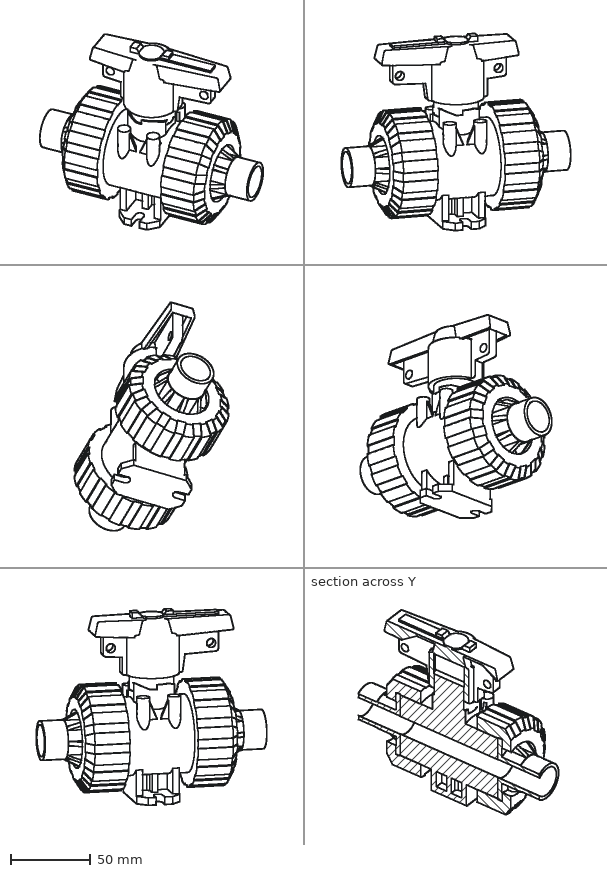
import cadquery as cq


body_radius = 24.9
body_half_length = 38.9
bore_radius = 10.0

neck_radius = 14.1
neck_bottom = 30.0
neck_top = 51.8
collar_radius = 15.1
collar_half_width = 13.2
collar_high = 35.5
collar_low = 32.5
left_fall_start = -12.1
left_fall_end = -4.3
right_fall_start = 8.2
right_fall_end_z = 33.5

pillar_x = 10.1
pillar_y = 19.3
pillar_radius = 4.0
pillar_top = 29.1
gusset_thickness = 1.9
gusset_shoulder_z = 26.2
gusset_bottom = 13.0
gusset_reach = 9.6
gusset_splay = 18.0

foot_bottom = -40.0
foot_top = -35.1
foot_half_length = 14.1
foot_half_width = 24.2
foot_chamfer = 6.2
foot_slot_width = 5.6
foot_slot_depth = 9.4
leg_thickness = 4.3
leg_half_width = 16.7
foot_boss_radius = 4.2
foot_rib_thickness = 3.9
foot_rib_half_width = 9.4
cross_wall_thickness = 4.3

nut_outer_radius = 34.3
nut_notch_radius = 33.3
nut_inner_end = 22.2
nut_outer_end = 49.4
nut_chamfer_length = 4.5
nut_chamfer_depth = 6.8
nut_opening_radius = 18.6
nut_shoulder = 42.2
notch_count = 16
notch_width = 5.8

pipe_end = 72.0
pipe_radius = 12.5
pipe_bore_radius = 10.1
hub_end = 57.0
hub_radius = 12.8
rib_shoulder = 45.8
rib_count = 8
rib_thickness = 2.9

skirt_radius = 17.5
skirt_bottom = 40.3
shoulder_z = 67.4
shoulder_fillet = 1.5
shoulder_inner_radius = skirt_radius - shoulder_fillet
cone_fillet = 1.0
cone_base_radius = shoulder_inner_radius - cone_fillet
cone_top_radius = 13.4
cone_top_fillet = 1.5
skirt_ceiling = 67.0
skirt_slot_width = 8.0

arm_top = 76.9
arm_left = -39.0
arm_right = 51.7
arm_end_bottom = 67.2
arm_middle_bottom = 65.1
arm_end_lean = 2.2
arm_end_fillet = 1.7
arm_lower_fillet = 1.0
arm_plan_overrun = 1.5
arm_draft = 6.0
arm_middle_half_width = 12.0
arm_left_half_width = 9.4
arm_right_half_width = 8.4
arm_wall = 1.7
arm_roof = 2.2

web_thickness = 6.6
web_left = -32.3
web_right = 42.8
web_corner_z = 52.8
web_corner_fillet = 2.0
leg_left = -19.9
leg_right = 21.0
leg_right_bottom = 19.5
leg_fillet = 1.5
lock_hole_diameter = 5.6
lock_hole_z = 58.2
lock_hole_places = (-27.2, 38.0)

button_radius = 8.0
button_base_radius = 7.8
button_top = 78.2
pointer_width = 7.2
pointer_right = web_right
block_width = 6.6
block_top = 80.4
block_outer = 13.4
block_inner_top = 9.0
block_inner_bottom = 7.2


def x_cylinder(radius, start, end):
    return cq.Workplane("YZ").workplane(offset=start).circle(radius).extrude(end - start)


def z_cylinder(radius, bottom, top):
    return cq.Workplane("XY").workplane(offset=bottom).circle(radius).extrude(top - bottom)


def z_box(x_size, y_size, bottom, top):
    return (cq.Workplane("XY").workplane(offset=bottom)
            .rect(x_size, y_size).extrude(top - bottom))


def xz_plate(points, thickness):
    """Plate centred on the XZ plane, from an outline of (x, z) points."""
    return cq.Workplane("XZ").polyline(points).close().extrude(thickness / 2, both=True)



def make_stop_collar_half():
    """Half of the collar on the -Y side; its rim falls, jumps at X = 0 and falls again."""
    rim = [
        (-collar_half_width, 0), (-collar_half_width, collar_high),
        (left_fall_start, collar_high), (left_fall_end, collar_low), (0, collar_low), (0, collar_high),
        (right_fall_start, collar_high), (collar_half_width, right_fall_end_z), (collar_half_width, 0),
    ]
    half = cq.Workplane("XZ").polyline(rim).close().extrude(collar_radius)
    return half.intersect(z_cylinder(collar_radius, 0, collar_high))


def make_stem():
    collar_half = make_stop_collar_half()
    other_half = collar_half.rotate((0, 0, 0), (0, 0, 1), 180)
    neck = z_cylinder(neck_radius, neck_bottom, neck_top)
    return neck.union(collar_half).union(other_half)


def make_gusset(direction):
    """Triangular fin that leans on a pillar axis, turned about Z by direction degrees."""
    outline = [(0, 0), (0, gusset_shoulder_z), (pillar_radius, gusset_shoulder_z),
               (gusset_reach, gusset_bottom), (gusset_reach, 0)]
    return xz_plate(outline, gusset_thickness).rotate((0, 0, 0), (0, 0, 1), direction)


def make_pillar():
    """Pillar of the (-X, -Y) corner with its two gussets."""
    pillar = z_cylinder(pillar_radius, 0, pillar_top)
    pillar = pillar.union(make_gusset(0)).union(make_gusset(90 + gusset_splay))
    return pillar.translate((-pillar_x, -pillar_y, 0))


def make_foot():
    """Slotted base plate with two end legs, a cross wall, a rib and a round boss."""
    foot = z_box(2 * foot_half_length, 2 * foot_half_width, foot_bottom, foot_top)
    foot = foot.edges("|Z").chamfer(foot_chamfer)
    for side in (-1, 1):
        slot = (cq.Workplane("XY").workplane(offset=foot_bottom)
                .center(0, side * foot_half_width)
                .slot2D(2 * foot_slot_depth, foot_slot_width, 90).extrude(foot_top - foot_bottom))
        foot = foot.cut(slot)
    for side in (-1, 1):
        leg = z_box(leg_thickness, 2 * leg_half_width, foot_bottom, 0)
        foot = foot.union(leg.translate((side * (foot_half_length - leg_thickness / 2), 0, 0)))
    foot = foot.union(z_box(2 * foot_half_length, cross_wall_thickness, foot_bottom, 0))
    foot = foot.union(z_box(foot_rib_thickness, 2 * foot_rib_half_width, foot_bottom, 0))
    return foot.union(z_cylinder(foot_boss_radius, foot_bottom, 0))


def make_body():
    body = x_cylinder(body_radius, -body_half_length, body_half_length)
    body = body.union(make_stem())
    pillar = make_pillar()
    for front_pillar in (pillar, pillar.mirror("YZ")):
        body = body.union(front_pillar).union(front_pillar.mirror("XZ"))
    body = body.union(make_foot())
    return body.cut(x_cylinder(bore_radius, -body_half_length, body_half_length))



def chamfered_disc(radius):
    """Disc of nut length whose outer end is chamfered."""
    outline = [(nut_inner_end, 0), (nut_inner_end, radius),
               (nut_outer_end - nut_chamfer_length, radius),
               (nut_outer_end, radius - nut_chamfer_depth), (nut_outer_end, 0)]
    return cq.Workplane("XY").polyline(outline).close().revolve(360, (0, 0, 0), (1, 0, 0))


def make_nut(side):
    """Union nut at the +X end (side 1) or the -X end (side -1)."""
    nut = chamfered_disc(nut_outer_radius)
    length = nut_outer_end - nut_inner_end
    for index in range(notch_count):
        notch = (cq.Workplane("XY")
                 .box(length, notch_width, nut_outer_radius, centered=(False, True, False))
                 .translate((nut_inner_end, 0, 0))
                 .rotate((0, 0, 0), (1, 0, 0), index * 360 / notch_count))
        nut = nut.cut(notch)
    nut = nut.union(chamfered_disc(nut_notch_radius))
    nut = nut.cut(x_cylinder(nut_opening_radius, nut_inner_end, nut_outer_end))
    nut = nut.cut(x_cylinder(body_radius, nut_inner_end, nut_shoulder))
    return nut if side > 0 else nut.mirror("YZ")



def make_connector(side):
    """Pipe end with a flange that its nut clamps against the body."""
    connector = x_cylinder(pipe_radius, body_half_length, pipe_end)
    connector = connector.union(x_cylinder(hub_radius, body_half_length, hub_end))
    connector = connector.union(x_cylinder(body_radius, body_half_length, nut_shoulder))
    rib_outline = [(body_half_length, 0), (body_half_length, nut_opening_radius),
                   (rib_shoulder, nut_opening_radius),
                   (hub_end, hub_radius), (hub_end, 0)]
    for index in range(rib_count):
        rib = xz_plate(rib_outline, rib_thickness)
        rib = rib.intersect(x_cylinder(nut_opening_radius, body_half_length, hub_end))
        connector = connector.union(rib.rotate((0, 0, 0), (1, 0, 0), index * 360 / rib_count))
    connector = connector.cut(x_cylinder(pipe_bore_radius, body_half_length, pipe_end))
    return connector if side > 0 else connector.mirror("YZ")



def make_hub():
    """Skirt with a rounded shoulder and a conical crown."""
    return (cq.Workplane("XZ").moveTo(0, skirt_bottom)
            .lineTo(skirt_radius, skirt_bottom)
            .lineTo(skirt_radius, shoulder_z - shoulder_fillet)
            .radiusArc((shoulder_inner_radius, shoulder_z), -shoulder_fillet)
            .radiusArc((cone_base_radius, shoulder_z + cone_fillet), cone_fillet)
            .lineTo(cone_top_radius, arm_top - cone_top_fillet)
            .radiusArc((cone_top_radius - cone_top_fillet, arm_top), -cone_top_fillet)
            .lineTo(0, arm_top).close()
            .revolve(360, (0, 0, 0), (0, 1, 0)))


def arm_block(end_overrun, side_inset, top):
    """Drafted lozenge of the arm's plan shape, longer by end_overrun and slimmer by side_inset."""
    plan = [(arm_left - end_overrun, arm_left_half_width - side_inset),
            (0, arm_middle_half_width - side_inset),
            (arm_right + end_overrun, arm_right_half_width - side_inset)]
    plan += [(x, -y) for x, y in reversed(plan)]
    return (cq.Workplane("XY").workplane(offset=arm_middle_bottom)
            .polyline(plan).close().extrude(top - arm_middle_bottom, taper=arm_draft))


def make_arm():
    """Hollow arm, open underneath, with leaning ends."""
    side_outline = [(arm_left, arm_end_bottom), (0, arm_middle_bottom),
                    (arm_right, arm_end_bottom), (arm_right - arm_end_lean, arm_top),
                    (arm_left + arm_end_lean, arm_top)]
    arm = arm_block(arm_plan_overrun, 0, arm_top)
    arm = arm.intersect(xz_plate(side_outline, 2 * arm_middle_half_width))
    arm = arm.faces(">Z").edges("<X or >X").fillet(arm_end_fillet)
    arm = arm.edges("|Y").edges("<X or >X").fillet(arm_lower_fillet)
    return arm.cut(arm_block(-arm_wall, arm_wall, arm_top - arm_roof))


def make_web():
    """Plate under the arm with the two lock holes and the two stop legs."""
    roof = arm_top - arm_roof
    plate = xz_plate([(web_left, roof), (web_left, web_corner_z), (leg_left, neck_top),
                      (leg_right, neck_top), (web_right, web_corner_z), (web_right, roof)],
                     web_thickness)
    for corner_x in (web_left, web_right):
        lower_corner = cq.selectors.NearestToPointSelector((corner_x, 0, web_corner_z))
        plate = plate.edges(lower_corner).fillet(web_corner_fillet)
    legs = xz_plate([(leg_left, neck_top), (leg_left, skirt_bottom),
                     (leg_right_bottom, skirt_bottom), (leg_right, neck_top)], web_thickness)
    legs = legs.faces("<Z").edges("|Y").fillet(leg_fillet)
    legs = legs.cut(z_cylinder(neck_radius, skirt_bottom, neck_top))
    holes = (cq.Workplane("XZ").pushPoints([(x, lock_hole_z) for x in lock_hole_places])
             .circle(lock_hole_diameter / 2).extrude(web_thickness, both=True))
    return plate.union(legs).cut(holes)


def make_markings():
    """Round button, pointer strip and two blocks on top of the handle."""
    button = (cq.Workplane("XZ")
              .polyline([(0, arm_top), (button_base_radius, arm_top),
                         (button_radius, button_top), (0, button_top)])
              .close().revolve(360, (0, 0, 0), (0, 1, 0)))
    strip = z_box(pointer_right, pointer_width, arm_top, button_top)
    markings = button.union(strip.translate((pointer_right / 2, 0, 0)))
    block = xz_plate([(block_inner_bottom, arm_top), (block_outer, arm_top), (block_outer, block_top),
                      (block_inner_top, block_top), (block_inner_bottom, button_top)],
                     block_width)
    return markings.union(block).union(block.mirror("YZ"))


def make_handle():
    handle = make_arm().union(make_hub())
    handle = handle.cut(z_cylinder(neck_radius, skirt_bottom, skirt_ceiling))
    handle = handle.cut(z_box(2 * skirt_radius, skirt_slot_width, skirt_bottom, skirt_ceiling))
    return handle.union(make_web()).union(make_markings())


body = make_body()
nuts = [make_nut(side) for side in (-1, 1)]
connectors = [make_connector(side) for side in (-1, 1)]
handle = make_handle()

bodies = [body, *nuts, *connectors, handle]

result = cq.Compound.makeCompound([item.solids().val() for item in bodies])